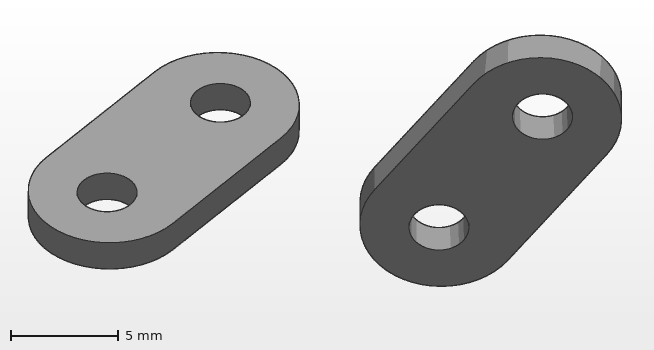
import cadquery as cq

length = 15.6
width = 7.6
thickness = 1.6

hole_diameter = 2.8
hole_spacing = 8.38

plate = cq.Workplane("XY").slot2D(length, width, angle=90).extrude(thickness)

hole_centers = [(0, -hole_spacing / 2), (0, hole_spacing / 2)]
result = plate.faces(">Z").workplane().pushPoints(hole_centers).hole(hole_diameter)